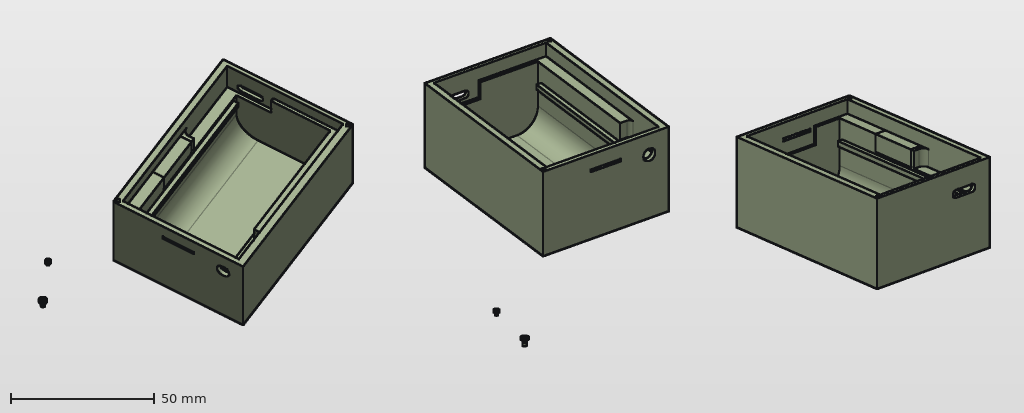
import cadquery as cq

housing_width = 53.3
housing_length = 72.56
housing_height = 34.5
half_width = housing_width / 2
half_length = housing_length / 2

left_wall = 2.75
right_wall = 3.0
front_wall = 2.0
back_wall = 1.7
inner_left = -half_width + left_wall
inner_right = half_width - right_wall
inner_front = -half_length + front_wall
inner_back = half_length - back_wall

high_ledge_z = housing_height - 5.5
low_ledge_z = housing_height - 12.35
back_left_corner_x = -5.05
back_left_corner_y = 5.2
back_left_corner_radius = 2.4
front_right_corner_x = -8.1
front_right_corner_y = -17.15
front_right_corner_radius = 1.5

trough_width = 38.5
trough_length = 66.4
trough_side_radius = 8.9
floor_thickness = 2.0
trough_left = -trough_width / 2
trough_right = trough_width / 2

rail_width = 2.0
rail_thickness = 2.05
rail_top_z = 21.3
rail_bottom_z = rail_top_z - rail_thickness
rail_front_y = -31.85
rail_back_y = 31.2

card_slot_width = 12.8
card_slot_height = 1.0
card_slot_z = housing_height - 6.6
front_port_diameter = 5.0
front_port_x = 18.4
front_port_z = housing_height - 8.6
back_port_width = 10.5
back_port_height = 3.0
back_port_x = (inner_left + back_left_corner_x) / 2
back_port_z = housing_height - 9.3

rim_hole_depth = 5.0
front_rim_hole_diameter = 1.43
front_rim_hole_center = (-25.5, -34.9)
back_rim_hole_diameter = 1.27
back_rim_hole_center = (25.3, 35.05)

insert_front_y = -14.65
insert_back_y = 3.55

slotted_center = (-50.15, -41.65)
slotted_top_z = -11.1
slotted_length = 2.05
slotted_head_diameter = 2.1
slotted_head_height = 0.7
slotted_shank_diameter = 0.95
driver_slot_width = 0.6
driver_slot_depth = 0.4

cross_center = (-45.6, -52.31)
cross_top_z = -18.35
cross_length = 3.39
cap_diameter = 1.6
cap_height = 0.3
rim_diameter = 3.0
rim_height = 0.3
cone_height = 0.75
neck_diameter = 1.43
neck_height = 0.6
shank_diameter = 1.54
recess_span = 1.5
recess_width = 0.3
recess_depth = 0.8


def block(x_limits, y_limits, z_limits):
    """Axis-aligned block given by its limits along each axis."""
    x0, x1 = x_limits
    y0, y1 = y_limits
    z0, z1 = z_limits
    return cq.Workplane("XY").box(x1 - x0, y1 - y0, z1 - z0, centered=False).translate((x0, y0, z0))


def build_rim_opening():
    """Space above the high ledge."""
    return block((inner_left, inner_right), (inner_front, inner_back), (high_ledge_z, housing_height))


def build_low_corners():
    """Spaces above the low ledge: back-left and front-right, each with one rounded corner."""
    z_limits = (low_ledge_z, housing_height)
    back_left = block((inner_left, back_left_corner_x), (back_left_corner_y, inner_back), z_limits)
    back_left = back_left.edges("|Z and <X and <Y").fillet(back_left_corner_radius)
    front_right = block((front_right_corner_x, inner_right), (inner_front, front_right_corner_y), z_limits)
    front_right = front_right.edges("|Z and >X and >Y").fillet(front_right_corner_radius)
    return back_left, front_right


def build_trough():
    """Trough space, less the two rails that stay standing in it."""
    y_limits = (-trough_length / 2, trough_length / 2)
    trough = block((trough_left, trough_right), y_limits, (floor_thickness, housing_height))
    trough = trough.edges("|Y and <Z").fillet(trough_side_radius)
    rail_spans = (
        (trough_left, trough_left + rail_width),
        (trough_right - rail_width, trough_right),
    )
    for rail_span in rail_spans:
        trough = trough.cut(block(rail_span, (rail_front_y, rail_back_y), (rail_bottom_z, rail_top_z)))
    return trough


def build_wall_openings():
    """Card slot and round port through the front wall, long port through the back wall."""
    card_slot = block(
        (-card_slot_width / 2, card_slot_width / 2),
        (-half_length, inner_front),
        (card_slot_z - card_slot_height / 2, card_slot_z + card_slot_height / 2),
    )
    front_plane = cq.Workplane("XZ", origin=(front_port_x, inner_front, front_port_z))
    front_port = front_plane.circle(front_port_diameter / 2).extrude(front_wall)
    back_plane = cq.Workplane("XZ", origin=(back_port_x, half_length, back_port_z))
    back_port = back_plane.slot2D(back_port_width, back_port_height).extrude(back_wall)
    return card_slot, front_port, back_port


def build_rim_hole(center, diameter):
    rim_plane = cq.Workplane("XY", origin=(*center, housing_height))
    return rim_plane.circle(diameter / 2).extrude(-rim_hole_depth)


def build_insert():
    """Block filling its recess in the left ledge, from the low to the high ledge level."""
    return block((inner_left, trough_left), (insert_front_y, insert_back_y), (low_ledge_z, high_ledge_z))


def build_housing():
    body = block((-half_width, half_width), (-half_length, half_length), (0, housing_height))
    cutters = [
        build_rim_opening(),
        *build_low_corners(),
        build_trough(),
        *build_wall_openings(),
        build_rim_hole(front_rim_hole_center, front_rim_hole_diameter),
        build_rim_hole(back_rim_hole_center, back_rim_hole_diameter),
        build_insert(),
    ]
    for cutter in cutters:
        body = body.cut(cutter)
    return body


def build_slotted_screw():
    head = cq.Workplane("XY").circle(slotted_head_diameter / 2).extrude(-slotted_head_height)
    shank = cq.Workplane("XY").circle(slotted_shank_diameter / 2).extrude(-slotted_length)
    driver_slot = cq.Workplane("XY").box(
        2 * slotted_head_diameter, driver_slot_width, 2 * driver_slot_depth
    )
    screw = head.union(shank).cut(driver_slot)
    return screw.translate((*slotted_center, slotted_top_z))


def build_cross_screw():
    rim_top = -cap_height
    rim_bottom = rim_top - rim_height
    neck_top = rim_bottom - cone_height
    neck_bottom = neck_top - neck_height
    half_profile = [
        (0, 0),
        (cap_diameter / 2, 0),
        (rim_diameter / 2, rim_top),
        (rim_diameter / 2, rim_bottom),
        (neck_diameter / 2, neck_top),
        (neck_diameter / 2, neck_bottom),
        (shank_diameter / 2, neck_bottom),
        (shank_diameter / 2, -cross_length),
        (0, -cross_length),
    ]
    screw = cq.Workplane("XZ").polyline(half_profile).close().revolve(360, (0, 0, 0), (0, 1, 0))
    for size_x, size_y in ((recess_span, recess_width), (recess_width, recess_span)):
        screw = screw.cut(cq.Workplane("XY").box(size_x, size_y, 2 * recess_depth))
    return screw.translate((*cross_center, cross_top_z))


housing = build_housing()
insert = build_insert()
slotted_screw = build_slotted_screw()
cross_screw = build_cross_screw()

result = cq.Compound.makeCompound(
    [housing.val(), insert.val(), slotted_screw.val(), cross_screw.val()]
)